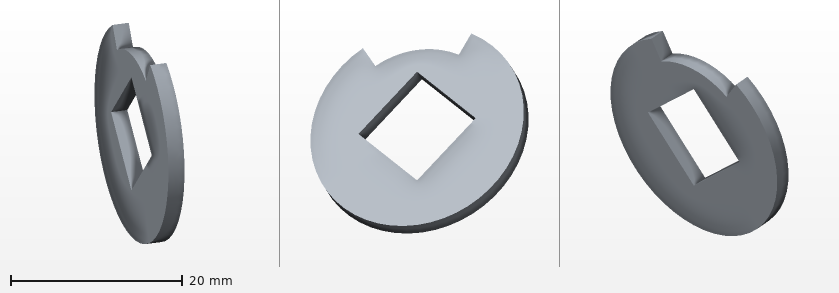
import cadquery as cq
import math

outer_radius = 13.0
notch_floor_radius = 10.0
thickness = 2.0
notch_half_angle = math.radians(30.5)
square_side = 10.08


def rim_point(radius, angle):
    """Point at the given radius, with the angle measured from +Z towards +X."""
    return (radius * math.sin(angle), radius * math.cos(angle))


disc = (
    cq.Workplane("XZ")
    .moveTo(*rim_point(outer_radius, notch_half_angle))
    .threePointArc((0, -outer_radius), rim_point(outer_radius, -notch_half_angle))
    .lineTo(*rim_point(notch_floor_radius, -notch_half_angle))
    .threePointArc((0, notch_floor_radius), rim_point(notch_floor_radius, notch_half_angle))
    .close()
    .extrude(thickness / 2, both=True)
)

square_hole = (
    cq.Workplane("XZ")
    .rect(square_side, square_side)
    .extrude(thickness, both=True)
    .rotate((0, 0, 0), (0, 1, 0), 45)
)

result = disc.cut(square_hole)